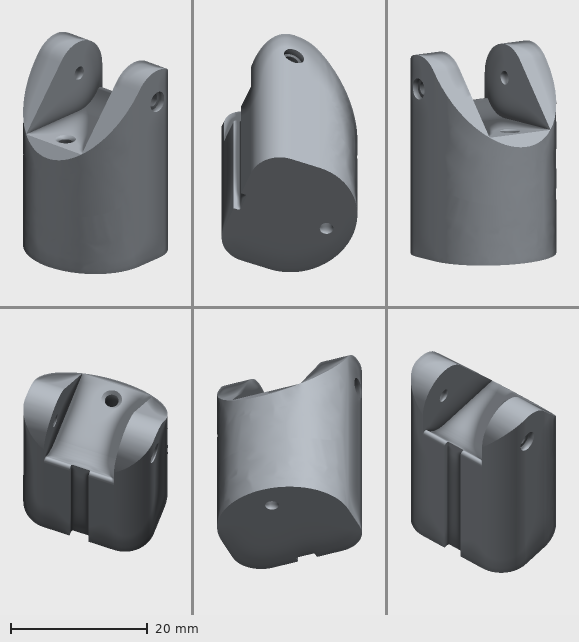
import cadquery as cq
import math

width = 20.0
depth = 18.0
height = 30.0
back_corner_radius = 4.5
front_bulge = 9.0
front_height = 17.25

pivot_radius = 5.0
pivot_y = -pivot_radius
pivot_z = height - pivot_radius
pivot_hole_diameter = 2.0
pivot_counterbore_diameter = 3.1
pivot_counterbore_depth = 1.0

slot_width = 10.92
floor_z = 18.98
floor_arc_radius = pivot_radius
lip_radius = 0.5

groove_width = 2.95
groove_depth = 0.95
groove_corner_radius = 0.3

upright_hole_y = -13.98
upright_hole_diameter = 2.0
countersink_diameter = 3.0
countersink_depth = 0.45

half_width = width / 2
ellipse_y = front_bulge - depth


def make_plan_body():
    """Upright prism with a half-elliptical front and rounded back corners."""
    front = (
        cq.Workplane("XY")
        .center(0, ellipse_y)
        .ellipse(half_width, front_bulge)
        .extrude(height)
        .intersect(cq.Workplane("XY").center(0, ellipse_y - depth / 2).rect(width, depth).extrude(height))
    )
    back = (
        cq.Workplane("XY")
        .center(0, ellipse_y / 2)
        .rect(width, -ellipse_y)
        .extrude(height)
        .edges("|Z and >Y")
        .fillet(back_corner_radius)
    )
    return front.union(back)


def make_side_envelope():
    """Side outline: round over the pivot, then a straight slope to the front."""
    slope_top_z = pivot_z + math.sqrt(pivot_radius**2 - (ellipse_y - pivot_y) ** 2)
    return (
        cq.Workplane("YZ")
        .moveTo(0, 0)
        .lineTo(0, pivot_z)
        .threePointArc((pivot_y, height), (ellipse_y, slope_top_z))
        .lineTo(-depth, front_height)
        .lineTo(-depth, 0)
        .close()
        .extrude(half_width, both=True)
    )


def make_slot():
    """Space between the arms: flat floor, curved rise and a rounded back lip."""
    arc_y = -floor_arc_radius
    arc_z = floor_z + floor_arc_radius
    centre_distance = floor_arc_radius + lip_radius
    lip_y = -lip_radius
    lip_z = arc_z - math.sqrt(centre_distance**2 - (lip_y - arc_y) ** 2)

    share = floor_arc_radius / centre_distance
    tangent_y = arc_y + (lip_y - arc_y) * share
    tangent_z = arc_z + (lip_z - arc_z) * share

    half_angle = math.atan2(tangent_y - arc_y, arc_z - tangent_z) / 2
    arc_middle = (
        arc_y + floor_arc_radius * math.sin(half_angle),
        arc_z - floor_arc_radius * math.cos(half_angle),
    )
    return (
        cq.Workplane("YZ")
        .moveTo(-depth, floor_z)
        .lineTo(arc_y, floor_z)
        .threePointArc(arc_middle, (tangent_y, tangent_z))
        .threePointArc((lip_y, lip_z + lip_radius), (0, lip_z))
        .lineTo(0, height)
        .lineTo(-depth, height)
        .close()
        .extrude(slot_width / 2, both=True)
    )


def make_groove():
    """Full-height groove in the back face with rounded inner corners."""
    return (
        cq.Workplane("XY")
        .center(0, -groove_depth / 2)
        .rect(groove_width, groove_depth)
        .extrude(height)
        .edges("|Z and <Y")
        .fillet(groove_corner_radius)
    )


def make_pivot_holes():
    """Cross hole through both arms, counterbored from each outer side."""
    axis = cq.Workplane("YZ").center(pivot_y, pivot_z)
    holes = axis.circle(pivot_hole_diameter / 2).extrude(half_width, both=True)
    for side in (-1, 1):
        counterbore = (
            axis.workplane(offset=side * half_width)
            .circle(pivot_counterbore_diameter / 2)
            .extrude(-side * pivot_counterbore_depth)
        )
        holes = holes.union(counterbore)
    return holes


def make_upright_hole():
    """Vertical through hole, countersunk at the slot floor."""
    hole = cq.Workplane("XY").center(0, upright_hole_y).circle(upright_hole_diameter / 2).extrude(floor_z)
    countersink = (
        cq.Workplane("XY", origin=(0, upright_hole_y, floor_z))
        .circle(countersink_diameter / 2)
        .workplane(offset=-countersink_depth)
        .circle(upright_hole_diameter / 2)
        .loft()
    )
    return hole.union(countersink)


result = (
    make_plan_body()
    .intersect(make_side_envelope())
    .cut(make_slot())
    .cut(make_groove())
    .cut(make_pivot_holes())
    .cut(make_upright_hole())
)